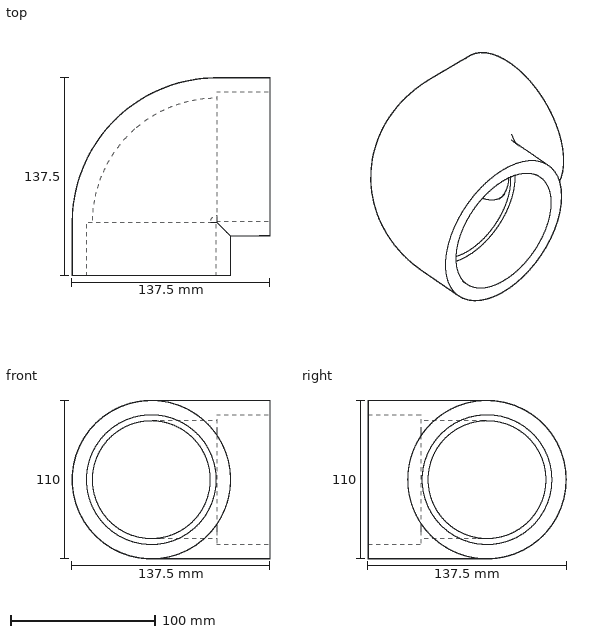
import cadquery as cq

overall_length = 137.5
outer_diameter = 110.0
socket_diameter = 90.0
bore_diameter = 81.8
collar_length = 36.8

socket_depth = collar_length

front_leg_x = outer_diameter / 2
side_leg_y = overall_length - outer_diameter / 2
bend_center_x = overall_length - collar_length
bend_center_y = collar_length
bend_radius = bend_center_x - front_leg_x
bend_angle = 90


def bend(diameter):
    """Quarter turn of a round section, trimmed where it would cross the bend axis."""
    section_plane = cq.Plane(
        origin=(bend_center_x, bend_center_y, 0), xDir=(-1, 0, 0), normal=(0, 1, 0)
    )
    radius = diameter / 2
    if radius <= bend_radius:
        section = cq.Workplane(section_plane).center(bend_radius, 0).circle(radius)
        return section.revolve(bend_angle, (-bend_radius, 0), (-bend_radius, -1))

    half_chord = (radius**2 - bend_radius**2) ** 0.5
    section = (
        cq.Workplane(section_plane)
        .moveTo(0, -half_chord)
        .threePointArc((bend_radius + radius, 0), (0, half_chord))
        .close()
    )
    return section.revolve(bend_angle, (0, 0), (0, -1))


def leg_cylinders(diameter, length):
    """One cylinder on each leg, running inward from the open end."""
    front = cq.Workplane("XZ").center(front_leg_x, 0).circle(diameter / 2).extrude(-length)
    side = (
        cq.Workplane("YZ", origin=(overall_length, 0, 0))
        .center(side_leg_y, 0)
        .circle(diameter / 2)
        .extrude(-length)
    )
    return front.union(side)


body = bend(outer_diameter).union(leg_cylinders(outer_diameter, collar_length))
bore = bend(bore_diameter)
sockets = leg_cylinders(socket_diameter, socket_depth)

result = body.cut(bore).cut(sockets)